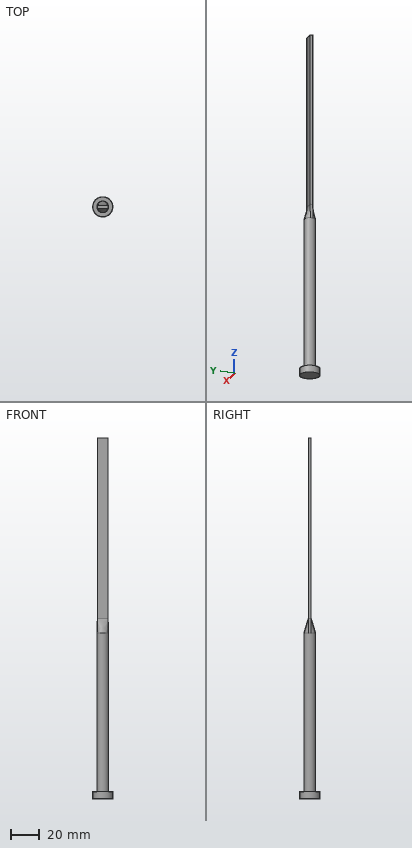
import cadquery as cq
import math

total_length = 250.0
head_diameter = 14.0
head_thickness = 5.0
shank_diameter = 8.0
blade_width = 7.5
blade_thickness = 2.0
blade_length = 125.0
shoulder_length = 10.0

shank_radius = shank_diameter / 2
blade_start = total_length - blade_length
shoulder_start = blade_start - shoulder_length


def cylinder(diameter, height):
    """Cylinder standing on the bottom of the pin."""
    return cq.Workplane("XY").circle(diameter / 2).extrude(height)


def shoulder():
    """Loft from the round shank to the blade rectangle.

    The shank circle is split into four arcs, one for each side of the rectangle.
    The two arcs facing X are as tall as the blade is thick.
    """
    half_thickness = blade_thickness / 2
    split_x = math.sqrt(shank_radius**2 - half_thickness**2)
    half_width = blade_width / 2
    return (
        cq.Workplane("XY", origin=(0, 0, shoulder_start))
        .moveTo(split_x, -half_thickness)
        .threePointArc((shank_radius, 0), (split_x, half_thickness))
        .threePointArc((0, shank_radius), (-split_x, half_thickness))
        .threePointArc((-shank_radius, 0), (-split_x, -half_thickness))
        .threePointArc((0, -shank_radius), (split_x, -half_thickness))
        .close()
        .workplane(offset=shoulder_length)
        .moveTo(half_width, -half_thickness)
        .lineTo(half_width, half_thickness)
        .lineTo(-half_width, half_thickness)
        .lineTo(-half_width, -half_thickness)
        .close()
        .loft(ruled=True)
    )


def blade():
    """Flat blade standing on the shoulder."""
    return (
        cq.Workplane("XY", origin=(0, 0, blade_start))
        .rect(blade_width, blade_thickness)
        .extrude(blade_length)
    )


head = cylinder(head_diameter, head_thickness)
shank = cylinder(shank_diameter, shoulder_start)
result = head.union(shank).union(shoulder()).union(blade())